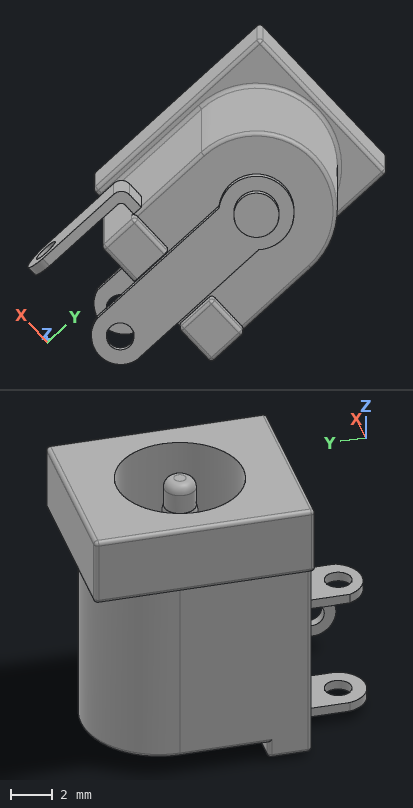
import cadquery as cq


TOP_Z = 14.3
HEAD_WIDTH = 9.0
HEAD_DEPTH = 10.97
FRONT_Y = -5.51
HEAD_HEIGHT = 3.5
BODY_WIDTH = 7.76
BACK_ROUND_Y = 1.05
FOOT_BOTTOM_Z = 0.13
FOOT_DEPTH = 2.19
FOOT_SLOT_WIDTH = 3.15
EDGE_RADIUS = 0.2
SLOT_EDGE_RADIUS = 0.18
BORE_RADIUS = 3.15
BORE_DEPTH = 9.0

SHEET = 0.5
LUG_WIDTH = 2.8
LUG_HOLE_RADIUS = 0.66
LUG_HOLE_Y = -7.86
LUG_ROUND_Y = -8.07
LUG_TIP_Y = -9.05
UPPER_LUG_Z = 6.67
SIDE_LUG_OUTER_X = 5.25
SIDE_LUG_WIDTH = 2.41
SIDE_LUG_BACK_Y = -2.88
SIDE_LUG_HOLE_RADIUS = 0.6
SIDE_LUG_INNER_BEND = 0.25
SIDE_LUG_OUTER_BEND = 0.55

CONTACT_LUG_TIP_Y = -9.25
CONTACT_DISC_RADIUS = 1.81
RIVET_Y = 1.05
RIVET_RADIUS = 1.09
RIVET_HEIGHT = 0.5
SHANK_RADIUS = 1.05
PIN_RADIUS = 0.8
PIN_TIP_RADIUS = 0.5
PIN_BALL_RADIUS = 0.87
PIN_BALL_BELOW_TIP = 1.87

BACK_Y = FRONT_Y + HEAD_DEPTH
FOOT_BACK_Y = FRONT_Y + FOOT_DEPTH
HEAD_BOTTOM_Z = TOP_Z - HEAD_HEIGHT
BODY_BOTTOM_Z = RIVET_HEIGHT + SHEET
BORE_FLOOR_Z = TOP_Z - BORE_DEPTH
SIDE_LUG_Z = BODY_BOTTOM_Z + SIDE_LUG_WIDTH / 2
SIDE_LUG_INNER_X = SIDE_LUG_OUTER_X - SHEET


def block(x_size, y_min, y_max, z_min, z_max):
    """Box centred on X = 0."""
    return cq.Workplane("XY").box(
        x_size, y_max - y_min, z_max - z_min, centered=(True, False, False)
    ).translate((0, y_min, z_min))


def cylinder(radius, y, z_min, z_max):
    """Upright cylinder on X = 0."""
    return cq.Workplane("XY", origin=(0, y, z_min)).circle(radius).extrude(z_max - z_min)


def lug_blank(width, start, tip, hole_radius):
    """Flat lug along -Y with a rounded tip and a hole, one sheet thick upward from Z = 0."""
    half = width / 2
    return (
        cq.Workplane("XY")
        .moveTo(-half, start)
        .lineTo(-half, LUG_ROUND_Y)
        .threePointArc((0, tip), (half, LUG_ROUND_Y))
        .lineTo(half, start)
        .close()
        .extrude(SHEET)
        .cut(cylinder(hole_radius, LUG_HOLE_Y, 0, SHEET))
    )


def housing_shell():
    """Head, round-backed body and front foot, with rounded edges."""
    half = BODY_WIDTH / 2
    head = block(HEAD_WIDTH, FRONT_Y, BACK_Y, HEAD_BOTTOM_Z, TOP_Z)
    body = (
        cq.Workplane("XY", origin=(0, 0, BODY_BOTTOM_Z))
        .moveTo(-half, FRONT_Y)
        .lineTo(half, FRONT_Y)
        .lineTo(half, BACK_ROUND_Y)
        .threePointArc((0, BACK_ROUND_Y + half), (-half, BACK_ROUND_Y))
        .close()
        .extrude(HEAD_BOTTOM_Z - BODY_BOTTOM_Z)
    )
    foot = block(BODY_WIDTH, FRONT_Y, FOOT_BACK_Y, FOOT_BOTTOM_Z, BODY_BOTTOM_Z)
    shell = head.union(body).union(foot)

    foot_corner = shell.edges(cq.NearestToPointSelector((0, FOOT_BACK_Y, BODY_BOTTOM_Z))).val()
    rounded_edges = [edge for edge in shell.edges().vals() if not edge.isSame(foot_corner)]
    return shell.newObject(rounded_edges).fillet(EDGE_RADIUS)


def cut_foot_slot(shell):
    """Cut the slot for the contact lug through the foot; its -X wall has a rounded outer edge."""
    slot = block(FOOT_SLOT_WIDTH, FRONT_Y, FOOT_BACK_Y, FOOT_BOTTOM_Z, BODY_BOTTOM_Z)
    slotted = shell.cut(slot)
    front_edge = (-FOOT_SLOT_WIDTH / 2, FRONT_Y, (FOOT_BOTTOM_Z + BODY_BOTTOM_Z) / 2)
    return slotted.edges(cq.NearestToPointSelector(front_edge)).fillet(SLOT_EDGE_RADIUS)


def upper_lug():
    """Flat lug standing out of the front wall."""
    return lug_blank(LUG_WIDTH, FRONT_Y, LUG_TIP_Y, LUG_HOLE_RADIUS).translate((0, 0, UPPER_LUG_Z))


def side_lug():
    """Upright lug that leaves the +X wall and bends toward -Y."""
    bend_end_y = SIDE_LUG_BACK_Y - SHEET - SIDE_LUG_INNER_BEND
    bend = (
        cq.Workplane("XY", origin=(0, 0, BODY_BOTTOM_Z))
        .moveTo(BODY_WIDTH / 2, SIDE_LUG_BACK_Y)
        .lineTo(SIDE_LUG_OUTER_X, SIDE_LUG_BACK_Y)
        .lineTo(SIDE_LUG_OUTER_X, bend_end_y)
        .lineTo(SIDE_LUG_INNER_X, bend_end_y)
        .lineTo(SIDE_LUG_INNER_X, SIDE_LUG_BACK_Y - SHEET)
        .lineTo(BODY_WIDTH / 2, SIDE_LUG_BACK_Y - SHEET)
        .close()
        .extrude(SIDE_LUG_WIDTH)
    )
    outer_corner = (SIDE_LUG_OUTER_X, SIDE_LUG_BACK_Y, SIDE_LUG_Z)
    inner_corner = (SIDE_LUG_INNER_X, SIDE_LUG_BACK_Y - SHEET, SIDE_LUG_Z)
    plate = (
        lug_blank(SIDE_LUG_WIDTH, bend_end_y, LUG_TIP_Y, SIDE_LUG_HOLE_RADIUS)
        .rotate((0, 0, 0), (0, 1, 0), 90)
        .translate((SIDE_LUG_INNER_X, 0, SIDE_LUG_Z))
    )
    lug = bend.union(plate)
    lug = lug.edges(cq.NearestToPointSelector(outer_corner)).fillet(SIDE_LUG_OUTER_BEND)
    return lug.edges(cq.NearestToPointSelector(inner_corner)).fillet(SIDE_LUG_INNER_BEND)


def make_housing():
    """Moulded housing with the bore, the shank hole and its two fixed lugs."""
    bore = cylinder(BORE_RADIUS, 0, BORE_FLOOR_Z, TOP_Z)
    shank_hole = cylinder(SHANK_RADIUS, 0, BODY_BOTTOM_Z, BORE_FLOOR_Z)
    shell = cut_foot_slot(housing_shell()).cut(bore).cut(shank_hole)
    return shell.union(upper_lug()).union(side_lug())


def make_contact():
    """Centre pin on a shank, standing on the bottom lug with its rivet head."""
    pin = cylinder(PIN_RADIUS, 0, BORE_FLOOR_Z, TOP_Z).faces(">Z").edges().fillet(PIN_TIP_RADIUS)
    ball = cq.Workplane("XY", origin=(0, 0, TOP_Z - PIN_BALL_BELOW_TIP)).sphere(PIN_BALL_RADIUS)
    shank = cylinder(SHANK_RADIUS, 0, BODY_BOTTOM_Z, BORE_FLOOR_Z)
    lug = lug_blank(LUG_WIDTH, RIVET_Y, CONTACT_LUG_TIP_Y, LUG_HOLE_RADIUS)
    lug = lug.translate((0, 0, RIVET_HEIGHT))
    disc = cylinder(CONTACT_DISC_RADIUS, RIVET_Y, RIVET_HEIGHT, BODY_BOTTOM_Z)
    rivet = cylinder(RIVET_RADIUS, RIVET_Y, 0, RIVET_HEIGHT)
    return pin.union(ball).union(shank).union(lug).union(disc).union(rivet)


housing = make_housing()
contact = make_contact()

result = cq.Compound.makeCompound([housing.val(), contact.val()])